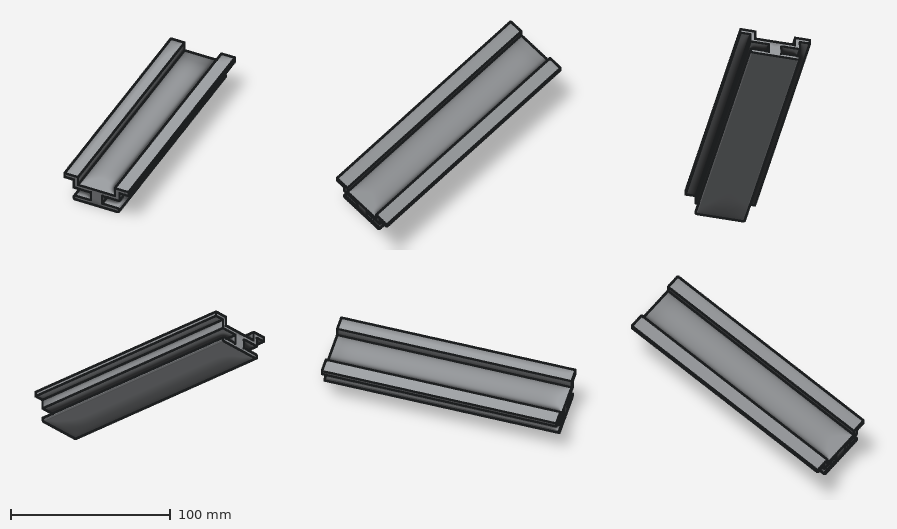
import cadquery as cq

length = 152.4
overall_width = 44.5
overall_height = 18.3
wall = 3.0
channel_width = 25.6
channel_depth = 6.1
neck_width = 8.0
foot_thickness = 3.0

body_width = channel_width + 2 * wall
body_height = channel_depth + wall
body_bottom = overall_height - body_height
foot_width = body_width


def bar(width, bottom, top):
    """Full-length bar centred on X, spanning the given heights."""
    return (
        cq.Workplane("XY")
        .box(width, length, top - bottom, centered=(True, True, False))
        .translate((0, 0, bottom))
    )


flanges = bar(overall_width, overall_height - wall, overall_height)
body = bar(body_width, body_bottom, overall_height)
channel = bar(channel_width, overall_height - channel_depth, overall_height)
hat = flanges.union(body).cut(channel)

foot_round = foot_thickness / 2
foot = bar(foot_width - foot_thickness, 0, foot_thickness)
for side in (-1, 1):
    rounded_edge = (
        cq.Workplane("XZ")
        .center(side * (foot_width / 2 - foot_round), foot_round)
        .circle(foot_round)
        .extrude(length / 2, both=True)
    )
    foot = foot.union(rounded_edge)
neck = bar(neck_width, foot_thickness, body_bottom)

result = hat.union(neck).union(foot)